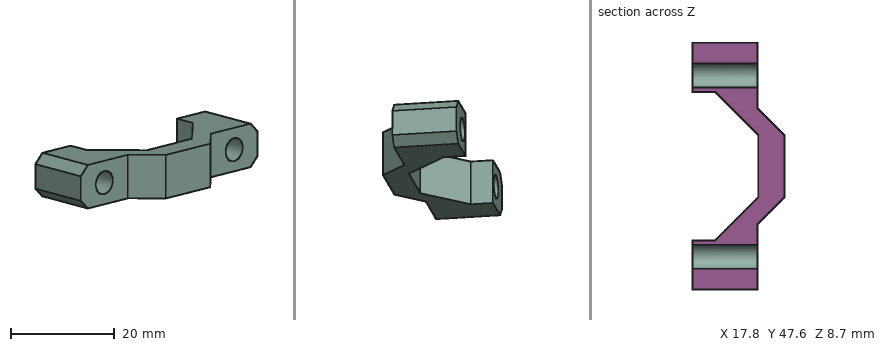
import cadquery as cq

length = 47.6
depth = 17.75
height = 8.7

lug_depth = 12.55
lug_length = 9.52
edge_chamfer = 1.9
hole_diameter = 4.55
hole_end_distance = 6.35

inner_wall_x = 12.65
inner_flat_half = 6.0
outer_flat_half = 6.0

half_length = length / 2
lug_inner_y = half_length - lug_length
inner_corner_x = inner_wall_x - (lug_inner_y - inner_flat_half)
outer_corner_y = outer_flat_half + (depth - lug_depth)
hole_y = half_length - hole_end_distance


def bracket_body():
    """Extrude the bracket outline, symmetric about Y = 0, upwards from Z = 0."""
    upper_half = [
        (inner_wall_x, inner_flat_half),
        (inner_corner_x, lug_inner_y),
        (0, lug_inner_y),
        (0, half_length),
        (lug_depth, half_length),
        (lug_depth, outer_corner_y),
        (depth, outer_flat_half),
    ]
    lower_half = [(x, -y) for x, y in reversed(upper_half)]
    return cq.Workplane("XY").polyline(upper_half + lower_half).close().extrude(height)


def chamfer_ends(body):
    """Bevel the top and bottom edges of both end faces."""
    return body.faces("<Y or >Y").edges("|X").chamfer(edge_chamfer)


def lug_holes():
    """Bolt holes running along X through both lugs."""
    return (
        cq.Workplane("YZ")
        .pushPoints([(side * hole_y, height / 2) for side in (-1, 1)])
        .circle(hole_diameter / 2)
        .extrude(lug_depth)
    )


result = chamfer_ends(bracket_body()).cut(lug_holes())